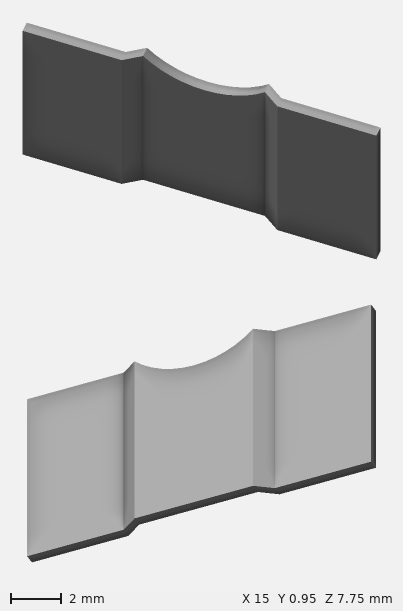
import cadquery as cq
import math

length = 15.0
height = 7.75
thickness = 0.45

step = 0.5
center_width = 5.17
bend_angle = 35.0

notch_depth = 1.0

half_length = length / 2
half_center = center_width / 2
slope_run = step / math.tan(math.radians(bend_angle))
bend_x = half_center + slope_run


def make_wing(side):
    """End tab with its sloped bend; side is -1 for the -X end and +1 for the +X end."""
    front_edge = [
        (side * half_length, 0),
        (side * bend_x, 0),
        (side * half_center, step),
    ]
    back_edge = [(x, y + thickness) for x, y in reversed(front_edge)]
    return cq.Workplane("XY").polyline(front_edge + back_edge).close().extrude(height)


def make_center_plate():
    """Flat plate between the bends, with a circular arc for its top edge."""
    return (
        cq.Workplane("XZ", origin=(0, step, 0))
        .moveTo(-half_center, 0)
        .lineTo(half_center, 0)
        .lineTo(half_center, height)
        .threePointArc((0, height - notch_depth), (-half_center, height))
        .close()
        .extrude(-thickness)
    )


wings = [make_wing(side) for side in (-1, 1)]
center_plate = make_center_plate()

result = cq.Compound.makeCompound([center_plate.val(), *[wing.val() for wing in wings]])